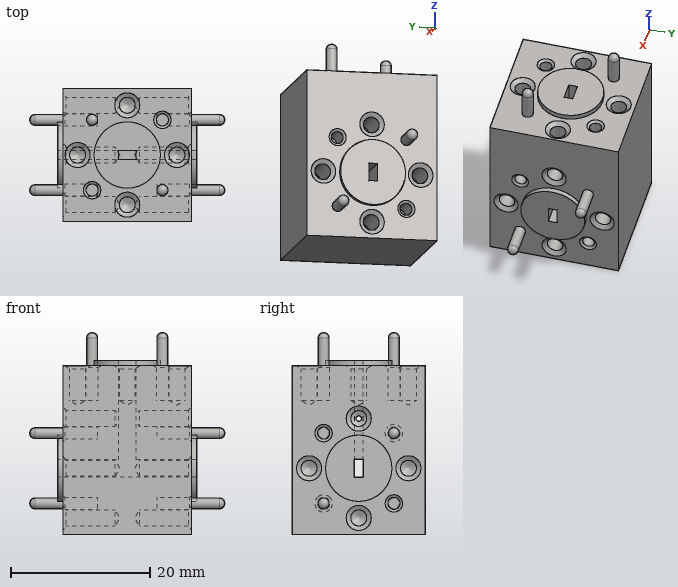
import cadquery as cq
import math

block_x = 18.5
block_y = 19.1
block_z = 24.25
side_port_z = 9.5

boss_diameter = 9.5
boss_height = 0.75
bolt_circle_radius = 7.13
pin_diameter = 1.6
pin_protrusion = 4.75

bolt_hole_diameter = 2.3
side_bolt_depth = 7.5
top_bolt_depth = 5.0
bolt_sink_diameter = 3.6
bolt_sink_depth = 0.5
drill_point_angle = 118

mating_hole_diameter = 1.75
mating_hole_depth = 5.0
mating_sink_diameter = 2.5
mating_sink_depth = 0.3

guide_wide = 2.55
guide_narrow = 1.28

top_port = cq.Plane(origin=(0, 0, block_z), xDir=(1, 0, 0), normal=(0, 0, 1))
left_port = cq.Plane(origin=(-block_x / 2, 0, side_port_z), xDir=(0, 0, -1), normal=(-1, 0, 0))
right_port = cq.Plane(origin=(block_x / 2, 0, side_port_z), xDir=(0, 0, -1), normal=(1, 0, 0))

ports = [
    (top_port, block_z - side_port_z, top_bolt_depth),
    (left_port, block_x / 2, side_bolt_depth),
    (right_port, block_x / 2, side_bolt_depth),
]


def on_bolt_circle(angles):
    """Points on the bolt circle at the given angles in degrees."""
    return [
        (
            bolt_circle_radius * math.cos(math.radians(angle)),
            bolt_circle_radius * math.sin(math.radians(angle)),
        )
        for angle in angles
    ]


bolt_points = on_bolt_circle([0, 90, 180, 270])
mating_points = on_bolt_circle([45, 225])
pin_points = on_bolt_circle([135, 315])


def revolve_about_z(profile):
    """Solid of revolution about local Z from an open profile of a half section."""
    return profile.close().revolve(360, (0, 0, 0), (0, 1, 0)).val()


def countersunk_hole(hole_diameter, depth, sink_diameter, sink_depth, point_depth=0):
    """Cutter going down from Z = 0, with an optional conical point below its full-diameter depth."""
    hole_radius = hole_diameter / 2
    profile = (
        cq.Workplane("XZ")
        .lineTo(sink_diameter / 2, 0)
        .lineTo(hole_radius, -sink_depth)
        .lineTo(hole_radius, -depth)
        .lineTo(0, -depth - point_depth)
    )
    return revolve_about_z(profile)


def dowel_pin():
    """Pin standing on Z = 0 with a hemispherical end."""
    radius = pin_diameter / 2
    shoulder = pin_protrusion - radius
    diagonal = radius * math.sqrt(0.5)
    profile = (
        cq.Workplane("XZ")
        .lineTo(radius, 0)
        .lineTo(radius, shoulder)
        .threePointArc((diagonal, shoulder + diagonal), (0, pin_protrusion))
    )
    return revolve_about_z(profile)


def place(shape, plane, points):
    """Copies of a shape at the given local points of a port plane."""
    locations = [plane.location * cq.Location(cq.Vector(x, y, 0)) for x, y in points]
    return cq.Workplane("XY").newObject([shape.moved(location) for location in locations]).combine()


bolt_point_depth = bolt_hole_diameter / 2 / math.tan(math.radians(drill_point_angle / 2))
mating_hole = countersunk_hole(
    mating_hole_diameter, mating_hole_depth, mating_sink_diameter, mating_sink_depth
)
pin = dowel_pin()

result = cq.Workplane("XY").box(block_x, block_y, block_z, centered=(True, True, False))

for port, _, _ in ports:
    boss = cq.Workplane(port).circle(boss_diameter / 2).extrude(boss_height)
    result = result.union(boss).union(place(pin, port, pin_points))

for port, junction_depth, bolt_depth in ports:
    bolt_hole = countersunk_hole(
        bolt_hole_diameter, bolt_depth, bolt_sink_diameter, bolt_sink_depth, bolt_point_depth
    )
    channel = (
        cq.Workplane(port)
        .workplane(offset=boss_height)
        .rect(guide_wide, guide_narrow)
        .extrude(-(boss_height + junction_depth))
    )
    result = (
        result.cut(place(bolt_hole, port, bolt_points))
        .cut(place(mating_hole, port, mating_points))
        .cut(channel)
    )